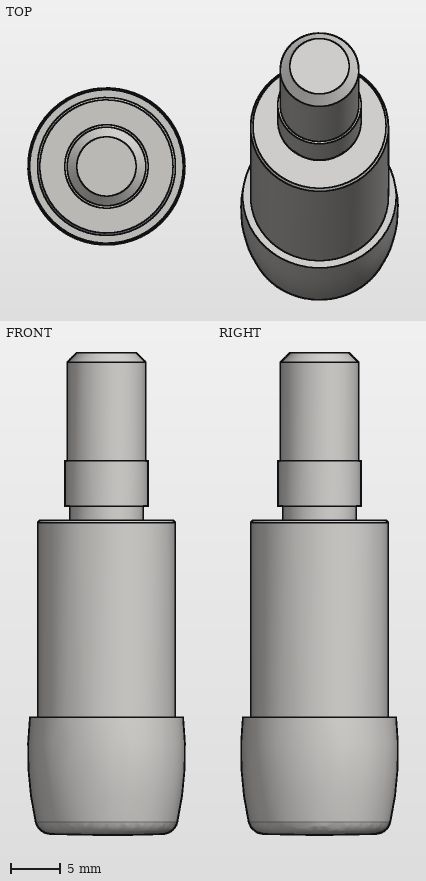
import cadquery as cq
import math

cap_top = 12.0
shank_top = 32.0
neck_top = 33.4
collar_top = 38.0
stud_top = 49.0

shank_diameter = 14.0
neck_diameter = 7.5
collar_diameter = 8.5
stud_diameter = 8.0
shank_chamfer = 0.25
stud_chamfer = 1.0

cap_radius = 8.0
widest_height = 8.5
barrel_arc_radius = 31.85
corner_radius = 6.9
dome_radius = 147.0
bottom_round_radius = 1.6


def cylinder(diameter, bottom, top):
    """Upright cylinder on the Z axis between two heights."""
    return cq.Workplane("XY").workplane(offset=bottom).circle(diameter / 2).extrude(top - bottom)


def make_cap():
    """Revolved cap: a bulging side and a slightly domed bottom, joined by a rounded edge."""
    barrel_center_r = cap_radius - barrel_arc_radius

    def barrel_r(height):
        return barrel_center_r + math.sqrt(barrel_arc_radius**2 - (height - widest_height) ** 2)

    def dome_height(r):
        return dome_radius - math.sqrt(dome_radius**2 - r**2)

    corner_height = dome_height(corner_radius)
    side_middle = (cap_radius, widest_height)
    sharp_cap = (
        cq.Workplane("XZ")
        .threePointArc((corner_radius / 2, dome_height(corner_radius / 2)), (corner_radius, corner_height))
        .threePointArc(side_middle, (barrel_r(cap_top), cap_top))
        .lineTo(0, cap_top)
        .close()
        .revolve(360, (0, 0), (0, 1))
    )
    return sharp_cap.edges(cq.selectors.RadiusNthSelector(0)).fillet(bottom_round_radius)


def make_pin():
    """Stepped pin standing on the cap: shank, undercut neck, locating collar and stud."""
    shank = cylinder(shank_diameter, cap_top, shank_top).faces(">Z").chamfer(shank_chamfer)
    neck = cylinder(neck_diameter, shank_top, neck_top)
    collar = cylinder(collar_diameter, neck_top, collar_top)
    stud = cylinder(stud_diameter, collar_top, stud_top).faces(">Z").chamfer(stud_chamfer)
    return shank.union(neck).union(collar).union(stud)


cap = make_cap()
pin = make_pin()
result = cq.Compound.makeCompound([cap.val(), pin.val()])